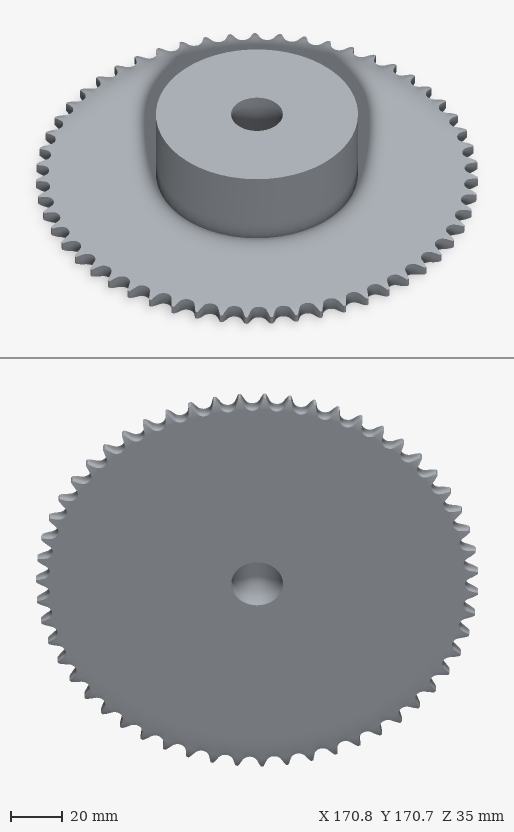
import cadquery as cq
import math


tooth_count = 55
outside_diameter = 170.8
pitch_diameter = 166.8
seat_radius = 3.21
seat_half_angle = 65.0
plate_thickness = 5.3
overall_height = 35.0
hub_diameter = 78.0
bore_diameter = 20.0
rim_drop = 1.0
rim_arc_radius = 10.0
cutter_margin = 0.9

tip_radius = outside_diameter / 2
pitch_radius = pitch_diameter / 2
tooth_angle = 360.0 / tooth_count


def rim_depth(radial_reach):
    """Drop of the rounded tooth side at a radial distance from where the rounding starts."""
    return rim_arc_radius - math.sqrt(rim_arc_radius**2 - radial_reach**2)


def plate_blank():
    """Disc whose rim is rounded towards both faces."""
    rim_width = math.sqrt(rim_arc_radius**2 - (rim_arc_radius - rim_drop) ** 2)
    rim_start = tip_radius - rim_width
    rim_middle = rim_start + rim_width / 2
    middle_drop = rim_depth(rim_width / 2)
    section = (
        cq.Workplane("XZ")
        .lineTo(rim_start, 0)
        .threePointArc((rim_middle, middle_drop), (tip_radius, rim_drop))
        .lineTo(tip_radius, plate_thickness - rim_drop)
        .threePointArc((rim_middle, plate_thickness - middle_drop), (rim_start, plate_thickness))
        .lineTo(0, plate_thickness)
        .close()
    )
    return section.revolve(360, (0, 0, 0), (0, 1, 0))


def tooth_gap():
    """Cutter for the gap centred on +Y: a round seat with straight flanks tangent to it."""
    half_angle = math.radians(seat_half_angle)
    seat_x = seat_radius * math.sin(half_angle)
    seat_y = pitch_radius - seat_radius * math.cos(half_angle)
    mouth_y = tip_radius + cutter_margin
    mouth_x = seat_x + (mouth_y - seat_y) / math.tan(half_angle)
    return (
        cq.Workplane("XY")
        .moveTo(-mouth_x, mouth_y)
        .lineTo(-seat_x, seat_y)
        .threePointArc((0, pitch_radius - seat_radius), (seat_x, seat_y))
        .lineTo(mouth_x, mouth_y)
        .close()
        .extrude(plate_thickness)
    )


def all_tooth_gaps():
    """The gap cutter repeated evenly around the axis, starting on +Y."""
    gap = tooth_gap().val()
    axis_start = cq.Vector(0, 0, 0)
    axis_end = cq.Vector(0, 0, 1)
    gaps = [gap.rotate(axis_start, axis_end, index * tooth_angle) for index in range(tooth_count)]
    return cq.Compound.makeCompound(gaps)


toothed_plate = plate_blank().cut(cq.Workplane(all_tooth_gaps()))
hub = cq.Workplane("XY").circle(hub_diameter / 2).extrude(overall_height)
bore = cq.Workplane("XY").circle(bore_diameter / 2).extrude(overall_height)

result = toothed_plate.union(hub).cut(bore)